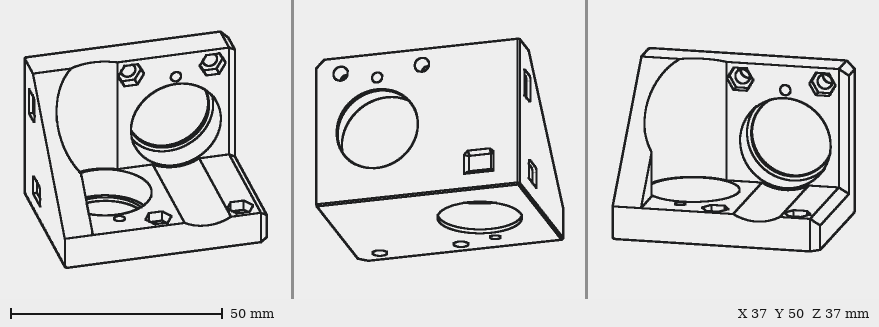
import cadquery as cq
import math

leg = 37.0
length = 50.0
plate = 8.0
web = 6.9
web_brace = 3.0
end_chamfer = 2.0
edge_chamfer = 0.4

bore_offset = 18.0
base_bore_y = 15.0
wall_bore_y = length - base_bore_y
bore_radius = 10.0
seat_radius = 11.0
clearance_radius = 11.5
lip = 1.0

screw_offset = 33.0
screw_ys = (24.0, 44.0)
screw_diameter = 3.5
nut_flats = 5.5
nut_depth = 2.5
pin_offset = 31.0
pin_diameter = 2.5

web_pocket_long = 6.6
web_pocket_short = 5.0
web_pocket_near = 4.5
web_pocket_round = 1.0
web_pocket_depth = 1.0
side_pocket_start = 8.0
upper_pocket_start = 24.25

taper_length = 7.3
taper_height = 5.8
taper_y = 6.3
taper_z = 4.05
taper_inset = 0.95
taper_depth = 1.0
taper_floor_corner = 0.1


def mirror_to_wall(tool):
    """Swap X and Z, turning a base feature into the matching wall feature."""
    turned = tool.rotate((0, 0, 0), (0, 1, 0), 90)
    return turned.mirror("XY")


def rod(radius, x, y, start, end):
    return cq.Workplane("XY", origin=(x, y, start)).circle(radius).extrude(end - start)


def bracket():
    """Solid L-shaped plates with a sloped web closing the -Y end."""
    base = cq.Workplane("XY").box(leg, length, plate, centered=False)
    base = base.faces(">Y").edges(">Z or >X").chamfer(end_chamfer)
    gusset = (
        cq.Workplane("XZ")
        .polyline([(0, 0), (leg, 0), (leg, plate), (plate, leg), (0, leg)])
        .close()
        .extrude(-web)
    )
    brace = (
        cq.Workplane("XY")
        .polyline([(plate, web), (plate + web_brace, web), (plate, web + web_brace)])
        .close()
        .extrude(leg)
        .intersect(gusset.translate((0, web, 0)))
    )
    body = base.union(mirror_to_wall(base)).union(gusset).union(brace)
    corner_edges = body.edges("(<X and <Y) or (<X and <Z) or (<Y and <Z)")
    return corner_edges.chamfer(edge_chamfer)


def bearing_bore(y):
    """Through bore, bearing seat above the lip, and clearance beyond the plate."""
    bore = rod(bore_radius, bore_offset, y, 0, plate)
    seat = rod(seat_radius, bore_offset, y, lip, plate)
    clearance = rod(clearance_radius, bore_offset, y, plate, leg)
    return bore.union(seat).union(clearance)


def fasteners(pin_y):
    """Screw holes with hexagonal nut traps, and one small pin hole."""
    tools = rod(pin_diameter / 2, pin_offset, pin_y, 0, plate)
    nut_corners = nut_flats / math.cos(math.pi / 6)
    for y in screw_ys:
        nut = (
            cq.Workplane("XY", origin=(screw_offset, y, plate - nut_depth))
            .transformed(rotate=(0, 0, 90))
            .polygon(6, nut_corners)
            .extrude(nut_depth)
        )
        tools = tools.union(rod(screw_diameter / 2, screw_offset, y, 0, plate)).union(nut)
    return tools


def web_pocket(start):
    """Recess lying along X, with its two upper corners rounded."""
    block = cq.Workplane("XY").box(
        web_pocket_long, web_pocket_depth, web_pocket_short, centered=False
    )
    block = block.edges("|Y and >Z").fillet(web_pocket_round)
    return block.translate((start, 0, web_pocket_near))


def tapered_pocket():
    """Recess narrowing towards its floor, with its two upper corners cut."""

    def outline(inset, corner):
        low_y = taper_y + inset
        high_y = taper_y + taper_length - inset
        low_z = taper_z + inset
        high_z = taper_z + taper_height - inset
        return [
            (low_y, low_z),
            (high_y, low_z),
            (high_y, high_z - corner),
            (high_y - corner, high_z),
            (low_y + corner, high_z),
            (low_y, high_z - corner),
        ]

    return (
        cq.Workplane("YZ")
        .polyline(outline(0, taper_inset))
        .close()
        .workplane(offset=taper_depth)
        .polyline(outline(taper_inset, taper_floor_corner))
        .close()
        .loft(ruled=True)
    )


result = (
    bracket()
    .cut(bearing_bore(base_bore_y))
    .cut(mirror_to_wall(bearing_bore(wall_bore_y)))
    .cut(fasteners(base_bore_y))
    .cut(mirror_to_wall(fasteners(wall_bore_y)))
    .cut(web_pocket(side_pocket_start))
    .cut(mirror_to_wall(web_pocket(upper_pocket_start)))
    .cut(tapered_pocket())
)